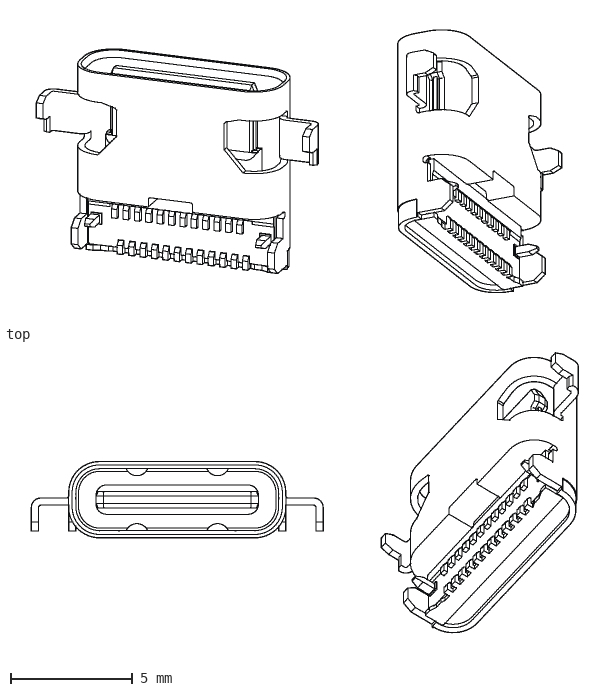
import cadquery as cq
import math

OVERALL_WIDTH = 12
HEIGHT = 8.17

SHELL_WIDTH = 8.93
SHELL_DEPTH = 3.15
CORNER_RADIUS = 1.27
WALL = 0.3
RIM_CHAMFER = 0.15
RIM_CHAMFER_HEIGHT = 0.26
HALF_WIDTH = SHELL_WIDTH / 2
HALF_DEPTH = SHELL_DEPTH / 2
FRONT_BOTTOM = 2.63
RELIEF_RADIUS = 0.15
LOWER_BAND_HEIGHT = 0.79
LOWER_BAND_INSET = 0.04
LOWER_BAND_FRONT = 0.23
BAND_GAP = 0.07

NOTCH_WIDTH = 1.95
NOTCH_TOP = 3.04
NOTCH_RADIUS = 0.1

WINDOW_TOP = 6.91
WINDOW_BOTTOM = 4.62
WINDOW_BACK = 0.24
WINDOW_INNER_X = 2.36
WINDOW_INNER_TOP = 6.67
WINDOW_INNER_BOTTOM = 5.53
WINDOW_TOP_CORNER = (2.42, 6.75)
WINDOW_TOP_X = 3.01
WINDOW_BOTTOM_X = 3.19
WINDOW_RADIUS = 0.12
WINDOW_CLEARANCE = 0.12

TAB_TOP = 6.65
TAB_BOTTOM = 4.93
TAB_BACK = 0.07
BEND_INNER = 0.1
BEND_OUTER = BEND_INNER + WALL
LEG_TIP_Y = -1.3
LEG_BOTTOM = 5.63
LEG_TIP_TOP = 6.45
LEG_TIP_BOTTOM = 5.8
LEG_CHAMFER_Y = -0.91
STUB_TIP_Y = -0.49
STUB_CHAMFER_X = 0.15
STUB_CHAMFER_Y = 0.1

EAR_TOP = 1.5
EAR_BOTTOM = 0.18
EAR_TIP_TOP = 1.2
EAR_TIP_BOTTOM = 0.49
EAR_NECK_Y = -0.28

FLOOR = 3.48
FLOOR_CHAMFER = 0.11
HOUSING_BOTTOM = 0.23
HOUSING_HALF_WIDTH = 4.07
UPPER_FACE_Y = -0.37
LOWER_FACE_Y = -0.31
STEP_Z = 2.11
SIDE_GAP_BACK = -0.15
CONTACT_ROOT = -0.19
WEDGE_HEIGHT = 0.15
WEDGE_INNER_X = 3.12
CAVITY_BOTTOM = 2.68
CAVITY_BACK = -0.3
PLATE_BACK = 0.48
PLATE_STEPS = [(3.04, -0.23), (3.2, -0.3), (3.54, -0.3), (3.84, -0.42), (4.14, -0.42)]
RECESS_X = 1.65
RECESS_RADIUS = 0.48
RECESS_REACH = 0.98
RECESS_DEPTH = FLOOR_CHAMFER

TONGUE_TOP = 7.97
TONGUE_HALF_WIDTH = 3.34
TONGUE_TIP_HALF_WIDTH = 3.04
TONGUE_EDGE_CHAMFER = 0.08
TONGUE_EDGE_CHAMFER_DEPTH = 0.18
TONGUE_HALF_THICK = 0.34
TONGUE_TIP_THICK = 0.3
TONGUE_SIDE_TAPER = 0.72
LATCH_X = 3.1
LATCH_TOP = 6.59
LATCH_BOTTOM = 5.14
LATCH_SLOPE = 0.19
MID_PLATE_HALF_WIDTH = 3.19
MID_PLATE_THICK = 0.15
BASE_HALF_THICK = 0.6
BASE_TOP = 5.09
BASE_RADIUS = 0.42

CONTACT_COUNT = 12
ROW_SPAN = 5.5
PITCH = ROW_SPAN / (CONTACT_COUNT - 1)
CONTACT_WIDTH = 0.24
CONTACT_FRONT_Y = -0.49
ROW_SHIFT = PITCH / 4
UPPER_CONTACT_BOTTOM = 1.55
LOWER_CONTACT_TOP = 0.56
CONTACT_BEVEL = 0.18
TAIL_BACK = 0.12

POST_X = 3.75
POST_Z = 1.39
POST_WIDTH = 0.38
POST_HEIGHT = 0.34
POST_SHOULDER_Y = -0.96
POST_TIP_Y = -1.3
POST_TIP_WIDTH = 0.23
POST_TIP_HEIGHT = 0.11
COLLAR_WIDTH = 0.48
COLLAR_HEIGHT = 0.47
COLLAR_THICK = 0.06


def block(x0, x1, y0, y1, z0, z1):
    return cq.Workplane("XY").box(x1 - x0, y1 - y0, z1 - z0, centered=False).translate((x0, y0, z0))


def rounded_prism(inset, z0, z1):
    """Shell outline moved inwards by `inset`, between two heights."""
    return (cq.Workplane("XY").workplane(offset=z0)
            .rect(SHELL_WIDTH - 2 * inset, SHELL_DEPTH - 2 * inset)
            .extrude(z1 - z0)
            .edges("|Z").fillet(CORNER_RADIUS - inset))


def side_profile(points, x0, x1):
    """Polygon given as (y, z), extruded along X."""
    return cq.Workplane("YZ").workplane(offset=x0).polyline(points).close().extrude(x1 - x0)


def front_profile(points, y0, y1):
    """Polygon given as (x, z), extruded along Y."""
    return cq.Workplane("XZ").workplane(offset=-y1).polyline(points).close().extrude(y1 - y0)


def both_sides(left):
    return left.union(left.mirror("YZ"))


def window_cutter():
    """Left window: opens the side wall and the curved front corner."""
    outline = [
        (-HALF_WIDTH - WINDOW_CLEARANCE, WINDOW_TOP),
        (-WINDOW_TOP_X, WINDOW_TOP),
        (-WINDOW_TOP_CORNER[0], WINDOW_TOP_CORNER[1]),
        (-WINDOW_INNER_X, WINDOW_INNER_TOP),
        (-WINDOW_INNER_X, WINDOW_INNER_BOTTOM),
        (-WINDOW_BOTTOM_X, WINDOW_BOTTOM),
        (-HALF_WIDTH - WINDOW_CLEARANCE, WINDOW_BOTTOM),
    ]
    window = front_profile(outline, -HALF_DEPTH - WINDOW_CLEARANCE, WINDOW_BACK)
    return window.edges(">Y and |X").fillet(WINDOW_RADIUS)


def notch_cutter(back, bottom):
    """Front notch with rounded upper corners, running back from the front of the shell."""
    return (block(-NOTCH_WIDTH / 2, NOTCH_WIDTH / 2, -HALF_DEPTH, back, bottom, NOTCH_TOP)
            .faces(">Z").edges("|Y").fillet(NOTCH_RADIUS))


def build_shell():
    shell = rounded_prism(0, 0, HEIGHT).cut(rounded_prism(WALL, 0, HEIGHT))
    mouth_taper = math.degrees(math.atan(RIM_CHAMFER / RIM_CHAMFER_HEIGHT))
    mouth = (rounded_prism(WALL - RIM_CHAMFER, HEIGHT - RIM_CHAMFER_HEIGHT, HEIGHT)
             .faces(">Z").wires().toPending()
             .extrude(-RIM_CHAMFER_HEIGHT, taper=mouth_taper, combine=False))
    shell = shell.cut(mouth)

    shell = shell.cut(block(-HALF_WIDTH, HALF_WIDTH, -HALF_DEPTH, EAR_NECK_Y, 0, FRONT_BOTTOM))
    relief = (cq.Workplane("YZ").workplane(offset=-HALF_WIDTH)
              .center(EAR_NECK_Y + RELIEF_RADIUS / 2, FRONT_BOTTOM - RELIEF_RADIUS)
              .circle(RELIEF_RADIUS).extrude(WALL))
    shell = shell.cut(both_sides(relief))
    shell = shell.cut(notch_cutter(UPPER_FACE_Y, FRONT_BOTTOM))

    band = block(-HALF_WIDTH, HALF_WIDTH, LOWER_BAND_FRONT, HALF_DEPTH, 0, LOWER_BAND_HEIGHT)
    shell = shell.cut(band.cut(rounded_prism(LOWER_BAND_INSET, 0, LOWER_BAND_HEIGHT)))
    shell = shell.cut(block(-HALF_WIDTH, HALF_WIDTH, EAR_NECK_Y, LOWER_BAND_FRONT - BAND_GAP, 0, EAR_BOTTOM))
    return shell.cut(both_sides(window_cutter()))


def build_tab():
    """Left tab: turned out of the side wall, along -X, then down into a leg towards -Y."""
    wall_out = -HALF_WIDTH
    wall_in = wall_out + WALL
    leg_out = -OVERALL_WIDTH / 2
    leg_in = leg_out + WALL
    plate_front = TAB_BACK - WALL
    diagonal = math.sqrt(0.5)
    root = (wall_out - BEND_INNER, TAB_BACK + BEND_INNER)
    tip = (leg_out + BEND_OUTER, TAB_BACK - BEND_OUTER)

    def on_bend(centre, radius, sign):
        """Middle of a quarter bend, towards +X -Y for sign 1 and -X +Y for sign -1."""
        offset = sign * diagonal * radius
        return (centre[0] + offset, centre[1] - offset)

    strip = (cq.Workplane("XY").workplane(offset=TAB_BOTTOM)
             .moveTo(wall_in, WINDOW_BACK)
             .lineTo(wall_in, root[1])
             .threePointArc(on_bend(root, BEND_OUTER, 1), (root[0], plate_front))
             .lineTo(tip[0], plate_front)
             .threePointArc(on_bend(tip, BEND_INNER, -1), (leg_in, tip[1]))
             .lineTo(leg_in, LEG_TIP_Y)
             .lineTo(leg_out, LEG_TIP_Y)
             .lineTo(leg_out, tip[1])
             .threePointArc(on_bend(tip, BEND_OUTER, -1), (tip[0], TAB_BACK))
             .lineTo(root[0], TAB_BACK)
             .threePointArc(on_bend(root, BEND_INNER, 1), (wall_out, root[1]))
             .lineTo(wall_out, WINDOW_BACK)
             .close().extrude(TAB_TOP - TAB_BOTTOM))
    outline = [
        (WINDOW_BACK, TAB_TOP),
        (LEG_CHAMFER_Y, TAB_TOP),
        (LEG_TIP_Y, LEG_TIP_TOP),
        (LEG_TIP_Y, LEG_TIP_BOTTOM),
        (LEG_CHAMFER_Y, LEG_BOTTOM),
        (STUB_TIP_Y, LEG_BOTTOM),
        (STUB_TIP_Y, TAB_BOTTOM),
        (WINDOW_BACK, TAB_BOTTOM),
    ]
    strip = strip.intersect(side_profile(outline, leg_out, wall_in))
    bevel = (cq.Workplane("XY").workplane(offset=TAB_BOTTOM)
             .polyline([(leg_out, STUB_TIP_Y),
                        (leg_out + STUB_CHAMFER_X, STUB_TIP_Y),
                        (leg_out, STUB_TIP_Y + STUB_CHAMFER_Y)])
             .close().extrude(LEG_BOTTOM - TAB_BOTTOM))
    return strip.cut(bevel)


def build_ear():
    outline = [
        (EAR_NECK_Y, EAR_TOP),
        (LEG_CHAMFER_Y, EAR_TOP),
        (LEG_TIP_Y, EAR_TIP_TOP),
        (LEG_TIP_Y, EAR_TIP_BOTTOM),
        (LEG_CHAMFER_Y, EAR_BOTTOM),
        (EAR_NECK_Y, EAR_BOTTOM),
    ]
    return side_profile(outline, -HALF_WIDTH, -HALF_WIDTH + WALL)


def build_housing():
    housing = rounded_prism(WALL, HOUSING_BOTTOM, FLOOR).faces(">Z").chamfer(FLOOR_CHAMFER)
    front = -HALF_DEPTH
    housing = housing.cut(block(-HALF_WIDTH, HALF_WIDTH, front, UPPER_FACE_Y, 0, FRONT_BOTTOM))
    housing = housing.cut(block(-HALF_WIDTH, HALF_WIDTH, front, LOWER_FACE_Y, 0, STEP_Z))
    housing = housing.cut(notch_cutter(UPPER_FACE_Y, FRONT_BOTTOM))
    housing = housing.cut(notch_cutter(CAVITY_BACK, CAVITY_BOTTOM))
    for x in (-HALF_WIDTH, HOUSING_HALF_WIDTH):
        housing = housing.cut(block(x, x + HALF_WIDTH - HOUSING_HALF_WIDTH, UPPER_FACE_Y, SIDE_GAP_BACK,
                                    0, FRONT_BOTTOM))
    wedge_section = [
        (UPPER_FACE_Y, STEP_Z),
        (LOWER_FACE_Y, STEP_Z),
        (LOWER_FACE_Y, STEP_Z - WEDGE_HEIGHT),
    ]
    wedge = side_profile(wedge_section, -HOUSING_HALF_WIDTH, -WEDGE_INNER_X)
    housing = housing.union(both_sides(wedge))
    right_end = PLATE_STEPS + [(PLATE_STEPS[-1][0], PLATE_BACK)]
    left_end = [(-x, y) for x, y in reversed(right_end)]
    housing = housing.union(cq.Workplane("XY").polyline(right_end + left_end).close().extrude(HOUSING_BOTTOM))
    recesses = (cq.Workplane("XY").workplane(offset=FLOOR)
                .pushPoints([(x, y) for x in (-RECESS_X, RECESS_X)
                             for y in (-RECESS_REACH - RECESS_RADIUS, RECESS_REACH + RECESS_RADIUS)])
                .circle(RECESS_RADIUS).extrude(-RECESS_DEPTH))
    return housing.cut(recesses)


def build_tongue():
    tip_slope = TONGUE_HALF_THICK - TONGUE_TIP_THICK / 2
    section = [
        (-TONGUE_HALF_THICK, FLOOR - RECESS_DEPTH),
        (-TONGUE_HALF_THICK, TONGUE_TOP - tip_slope),
        (-TONGUE_TIP_THICK / 2, TONGUE_TOP),
        (TONGUE_TIP_THICK / 2, TONGUE_TOP),
        (TONGUE_HALF_THICK, TONGUE_TOP - tip_slope),
        (TONGUE_HALF_THICK, FLOOR - RECESS_DEPTH),
    ]
    blade = side_profile(section, -TONGUE_HALF_WIDTH, TONGUE_HALF_WIDTH)
    right_edge = [
        (TONGUE_TIP_HALF_WIDTH, TONGUE_TOP),
        (TONGUE_HALF_WIDTH, TONGUE_TOP - TONGUE_SIDE_TAPER),
        (TONGUE_HALF_WIDTH, LATCH_TOP + LATCH_SLOPE),
        (LATCH_X, LATCH_TOP),
        (LATCH_X, LATCH_BOTTOM),
        (TONGUE_HALF_WIDTH, LATCH_BOTTOM),
        (TONGUE_HALF_WIDTH, FLOOR - RECESS_DEPTH),
    ]
    left_edge = [(-x, z) for x, z in reversed(right_edge)]
    core_half_thick = TONGUE_HALF_THICK - TONGUE_EDGE_CHAMFER_DEPTH
    edge_taper = math.degrees(math.atan(TONGUE_EDGE_CHAMFER / TONGUE_EDGE_CHAMFER_DEPTH))
    outline = front_profile(right_edge + left_edge, -core_half_thick, core_half_thick)
    chamfered_skin = (cq.Workplane("XZ").workplane(offset=core_half_thick)
                      .polyline(right_edge + left_edge).close()
                      .extrude(TONGUE_EDGE_CHAMFER_DEPTH, taper=edge_taper))
    outline = outline.union(chamfered_skin).union(chamfered_skin.mirror("XZ"))
    blade = blade.intersect(outline)
    mid_plate = block(-MID_PLATE_HALF_WIDTH, MID_PLATE_HALF_WIDTH, -MID_PLATE_THICK / 2, MID_PLATE_THICK / 2,
                      LATCH_BOTTOM, LATCH_TOP + LATCH_SLOPE)

    shoulder = BASE_TOP - (BASE_HALF_THICK - TONGUE_HALF_THICK)
    base_section = [
        (-BASE_HALF_THICK, FLOOR - RECESS_DEPTH),
        (-BASE_HALF_THICK, shoulder),
        (-TONGUE_HALF_THICK, BASE_TOP),
        (TONGUE_HALF_THICK, BASE_TOP),
        (BASE_HALF_THICK, shoulder),
        (BASE_HALF_THICK, FLOOR - RECESS_DEPTH),
    ]
    base = block(-TONGUE_HALF_WIDTH, TONGUE_HALF_WIDTH, -BASE_HALF_THICK, BASE_HALF_THICK,
                 FLOOR - RECESS_DEPTH, BASE_TOP).edges("|Z").fillet(BASE_RADIUS)
    base = base.intersect(side_profile(base_section, -TONGUE_HALF_WIDTH, TONGUE_HALF_WIDTH))
    return blade.union(mid_plate).union(base)


def contact_row(section, shift):
    first = -ROW_SPAN / 2 + shift
    row = cq.Workplane("XY")
    for i in range(CONTACT_COUNT):
        x = first + i * PITCH
        row = row.add(side_profile(section, x - CONTACT_WIDTH / 2, x + CONTACT_WIDTH / 2))
    return row.combine()


def build_contacts():
    upper = [
        (CONTACT_ROOT, STEP_Z),
        (UPPER_FACE_Y, STEP_Z),
        (CONTACT_FRONT_Y, STEP_Z - CONTACT_BEVEL),
        (CONTACT_FRONT_Y, UPPER_CONTACT_BOTTOM),
        (CONTACT_ROOT, UPPER_CONTACT_BOTTOM),
    ]
    lower = [
        (TAIL_BACK, 0),
        (CONTACT_FRONT_Y, 0),
        (CONTACT_FRONT_Y, LOWER_CONTACT_TOP - CONTACT_BEVEL),
        (UPPER_FACE_Y, LOWER_CONTACT_TOP),
        (TAIL_BACK, LOWER_CONTACT_TOP),
    ]
    return contact_row(upper, -ROW_SHIFT), contact_row(lower, ROW_SHIFT)


def build_post():
    root = cq.Workplane("XZ", origin=(-POST_X, LOWER_FACE_Y, POST_Z))
    shaft = root.rect(POST_WIDTH, POST_HEIGHT).extrude(LOWER_FACE_Y - POST_SHOULDER_Y)
    tip = (cq.Workplane("XZ", origin=(-POST_X, POST_SHOULDER_Y, POST_Z))
           .rect(POST_WIDTH, POST_HEIGHT)
           .workplane(offset=POST_SHOULDER_Y - POST_TIP_Y)
           .rect(POST_TIP_WIDTH, POST_TIP_HEIGHT).loft())
    collar = (root.center((COLLAR_WIDTH - POST_WIDTH) / 2, 0)
              .rect(COLLAR_WIDTH, COLLAR_HEIGHT).extrude(COLLAR_THICK))
    shaft = shaft.union(collar)
    return shaft.union(tip)


upper_contacts, lower_contacts = build_contacts()
result = (build_shell()
          .union(both_sides(build_tab()))
          .union(both_sides(build_ear()))
          .union(build_housing())
          .union(build_tongue())
          .union(upper_contacts)
          .union(lower_contacts)
          .union(both_sides(build_post())))